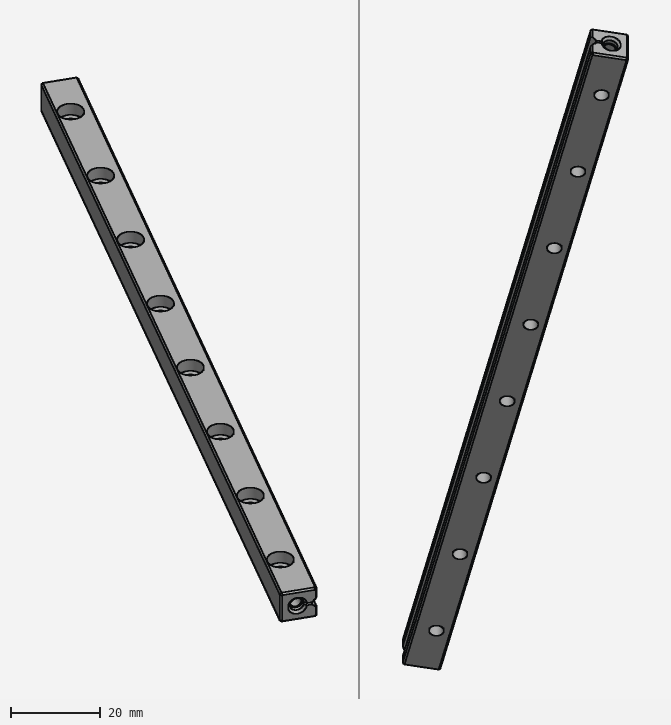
import cadquery as cq
import math

LENGTH = 200.0
WIDTH = 8.6
HEIGHT = 8.0
CHAMFER = 0.42

GROOVE_OPENING = 3.0
RELIEF_WIDTH = 0.6
RELIEF_DEPTH = 3.0

HOLE_COUNT = 8
HOLE_PITCH = 25.0
HOLE_Y = -0.8
HOLE_DIAMETER = 3.3
COUNTERBORE_DIAMETER = 6.0
COUNTERBORE_DEPTH = 3.1

END_HOLE_Y = -0.3
END_HOLE_DIAMETER = 2.6
END_HOLE_DEPTH = 6.0
END_STEP_DIAMETER = 3.2
END_STEP_DEPTH = 1.6
END_COUNTERSINK_DIAMETER = 4.4
DRILL_TIP_ANGLE = 118.0


def rail_body():
    """Bar with its long edges and both end outlines chamfered."""
    bar = cq.Workplane("XY").box(LENGTH, WIDTH, HEIGHT)
    bar = bar.edges("|X").chamfer(CHAMFER)
    return bar.faces("<X or >X").edges().chamfer(CHAMFER)


def roller_groove():
    """Full-length cutter for the V and its relief slit."""
    face_y = WIDTH / 2
    half_opening = GROOVE_OPENING / 2
    half_relief = RELIEF_WIDTH / 2
    shoulder_y = face_y - (half_opening - half_relief)
    root_y = face_y - RELIEF_DEPTH
    outline = [
        (face_y, half_opening),
        (shoulder_y, half_relief),
        (root_y, half_relief),
        (root_y, -half_relief),
        (shoulder_y, -half_relief),
        (face_y, -half_opening),
    ]
    return cq.Workplane("YZ").polyline(outline).close().extrude(LENGTH / 2, both=True)


def drill_mounting_holes(rail):
    """Row of counterbored through holes, centred along the rail."""
    first_x = -HOLE_PITCH * (HOLE_COUNT - 1) / 2
    centres = [(first_x + i * HOLE_PITCH, HOLE_Y) for i in range(HOLE_COUNT)]
    top = cq.Workplane("XY", origin=(0, 0, HEIGHT / 2))
    bores = top.pushPoints(centres).circle(HOLE_DIAMETER / 2).extrude(-HEIGHT)
    heads = top.pushPoints(centres).circle(COUNTERBORE_DIAMETER / 2).extrude(-COUNTERBORE_DEPTH)
    return rail.cut(bores).cut(heads)


def end_hole():
    """Cutter for the -X end hole: 90 degree countersink, short step, bore and conical drill tip."""
    bore_radius = END_HOLE_DIAMETER / 2
    step_radius = END_STEP_DIAMETER / 2
    mouth_radius = END_COUNTERSINK_DIAMETER / 2
    tip_length = bore_radius / math.tan(math.radians(DRILL_TIP_ANGLE / 2))
    profile = [
        (0, 0),
        (0, mouth_radius),
        (mouth_radius - step_radius, step_radius),
        (END_STEP_DEPTH, step_radius),
        (END_STEP_DEPTH, bore_radius),
        (END_HOLE_DEPTH, bore_radius),
        (END_HOLE_DEPTH + tip_length, 0),
    ]
    plane = cq.Workplane("XY", origin=(-LENGTH / 2, END_HOLE_Y, 0))
    return plane.polyline(profile).close().revolve(360, (0, 0, 0), (1, 0, 0))


rail = rail_body().cut(roller_groove())
rail = drill_mounting_holes(rail)
near_end_hole = end_hole()
far_end_hole = near_end_hole.mirror("YZ")
result = rail.cut(near_end_hole).cut(far_end_hole)